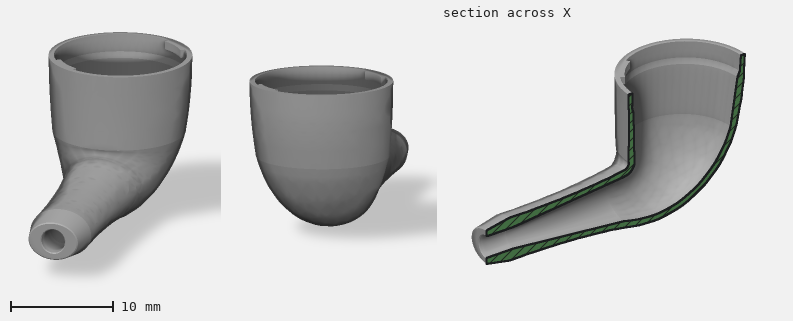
import cadquery as cq
import math


cup_depth = 7.53
rim_radius = 7.0
cup_base_radius = 6.5
cup_front = -rim_radius
cup_stations = 5

rim_wall = 0.53
body_wall = 0.78
ledge_top = 1.75
ledge_top_radius = 6.42
ledge_top_shift = 0.078
ledge_base = 2.32
ledge_base_radius = 6.2
ledge_base_shift = 0.14

tab_radius = 6.0
tab_height = 0.8
tab_half_angle = 15
tab_directions = (45, 225)
tab_overlap = 0.22

stem_start = -7.5
elbow_stations = 7
elbow_width_slopes = (-2.8, -0.15)
elbow_reach_slopes = (-6.2, -2.48)

stem_axis_z = -11.5
stem_root_half = (3.78, 3.22)
stem_half = (3.07, 2.42)
flare_end = -20.77
flare_power = 2.4
flare_stations = 5
taper_start = -21.2
overall_length = 31
tip = rim_radius - overall_length
tip_half = (2.48, 1.9)
tip_chamfer = 0.1

bore_radius = 1.18
bore_start = flare_end


def circle_section(depth, radius, shift):
    """Level circle at a depth below the rim, centred shift towards -Y."""
    return cq.Wire.makeCircle(radius, cq.Vector(0, -shift, -depth), cq.Vector(0, 0, 1))


def ellipse_section(center, normal, half_width, half_height):
    """Ellipse with its width along X, square to the given normal."""
    return cq.Wire.makeEllipse(
        half_width, half_height, cq.Vector(*center), cq.Vector(*normal), cq.Vector(1, 0, 0),
    )


def stem_section(y, half_width, half_height):
    return ellipse_section((0, y, stem_axis_z), (0, 1, 0), half_width, half_height)


def bore_section(y, radius):
    return cq.Wire.makeCircle(radius, cq.Vector(0, y, stem_axis_z), cq.Vector(0, 1, 0))


def loft(sections, ruled=False):
    return cq.Workplane(obj=cq.Solid.makeLoft(sections, ruled))


def blend(t, start, end, slopes):
    """Cubic from start to end for t from 0 to 1, with the given end slopes."""
    rise = t * t * (3 - 2 * t)
    return (
        start + (end - start) * rise
        + slopes[0] * t * (1 - t) ** 2
        - slopes[1] * t * t * (1 - t)
    )


def elbow(wall):
    """Bend from the cup to the stem, turning about the X line at the inner corner."""
    start_near = cup_front - stem_start
    start_far = start_near + 2 * cup_base_radius
    end_near = -cup_depth - (stem_axis_z + stem_root_half[1])
    end_far = end_near + 2 * stem_root_half[1]
    sections = []
    for i in range(elbow_stations):
        t = i / (elbow_stations - 1)
        angle = math.radians(90 * t)
        near = start_near + (end_near - start_near) * t
        far = blend(t, start_far, end_far, elbow_reach_slopes)
        half_width = blend(t, cup_base_radius, stem_root_half[0], elbow_width_slopes)
        middle = (near + far) / 2
        center = (
            0,
            stem_start + middle * math.cos(angle),
            -cup_depth - middle * math.sin(angle),
        )
        normal = (0, math.sin(angle), math.cos(angle))
        sections.append(ellipse_section(center, normal, half_width - wall, (far - near) / 2 - wall))
    return loft(sections)


def cup_outside():
    sections = []
    for i in range(cup_stations):
        t = i / (cup_stations - 1)
        narrowing = (rim_radius - cup_base_radius) * t * t
        sections.append(circle_section(cup_depth * t, rim_radius - narrowing, narrowing))
    return loft(sections)


def stem_outside():
    flare = []
    for i in range(flare_stations):
        t = i / (flare_stations - 1)
        half_sizes = [
            end + (root - end) * (1 - t) ** flare_power
            for root, end in zip(stem_root_half, stem_half)
        ]
        flare.append(stem_section(stem_start + (flare_end - stem_start) * t, *half_sizes))
    straight = [stem_section(flare_end, *stem_half), stem_section(taper_start, *stem_half)]
    taper = [stem_section(taper_start, *stem_half), stem_section(tip, *tip_half)]
    nose = loft(taper, True).faces("<Y").chamfer(tip_chamfer)
    return loft(flare).union(loft(straight, True)).union(nose)


def hollow():
    """Counterbore, sloped ledge, cup cavity, elbow cavity, narrowing stem and bore."""
    rim = circle_section(0, rim_radius - rim_wall, 0)
    ledge_upper = circle_section(ledge_top, ledge_top_radius, ledge_top_shift)
    ledge_lower = circle_section(ledge_base, ledge_base_radius, ledge_base_shift)
    cup_base = circle_section(
        cup_depth, cup_base_radius - body_wall, rim_radius - cup_base_radius
    )
    cup_cavity = loft([rim, ledge_upper, ledge_lower, cup_base], True)
    cavity_root = stem_section(stem_start, *[half - body_wall for half in stem_root_half])
    stem_cavity = loft([cavity_root, bore_section(bore_start, bore_radius)], True)
    bore = loft([bore_section(bore_start, bore_radius), bore_section(tip, bore_radius)], True)
    mouth = loft(
        [
            bore_section(tip + tip_chamfer, bore_radius),
            bore_section(tip, bore_radius + tip_chamfer),
        ],
        True,
    )
    return cup_cavity.union(elbow(body_wall)).union(stem_cavity).union(bore).union(mouth)


def tab(direction):
    """Ring sector just below the rim, centred on the given direction in degrees."""
    outer_radius = rim_radius - rim_wall + tab_overlap

    def on_ring(radius, offset):
        angle = math.radians(direction + offset)
        return (radius * math.cos(angle), radius * math.sin(angle))

    return (
        cq.Workplane("XY")
        .moveTo(*on_ring(tab_radius, -tab_half_angle))
        .threePointArc(on_ring(tab_radius, 0), on_ring(tab_radius, tab_half_angle))
        .lineTo(*on_ring(outer_radius, tab_half_angle))
        .threePointArc(on_ring(outer_radius, 0), on_ring(outer_radius, -tab_half_angle))
        .close()
        .extrude(-tab_height)
    )


body = cup_outside().union(elbow(0)).union(stem_outside()).cut(hollow())
for tab_direction in tab_directions:
    body = body.union(tab(tab_direction))

result = body.solids()